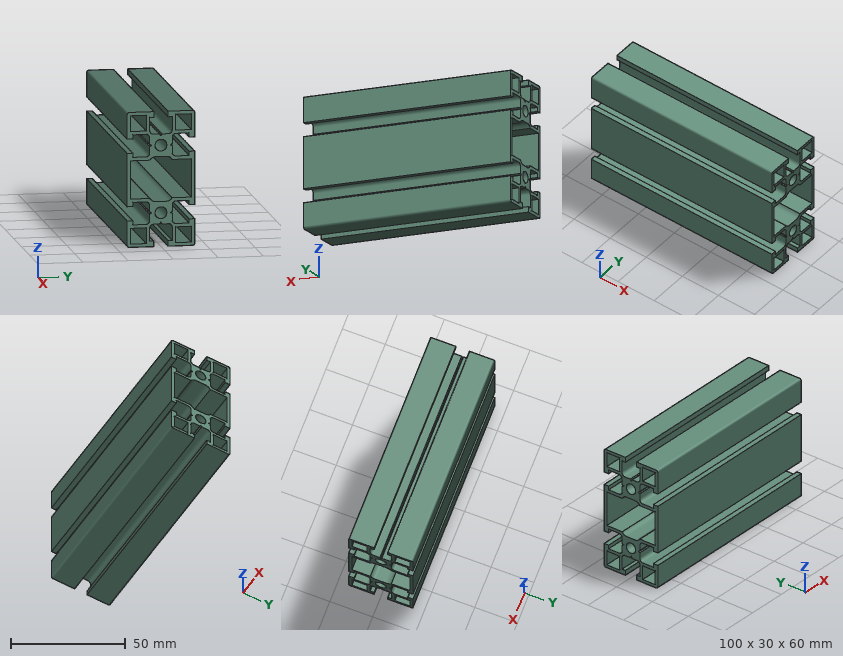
import cadquery as cq

length = 100.0
module = 30.0
height = 2 * module
corner_radius = 1.0

slot_opening = 6.3
lip_thickness = 2.5
core_width = 10.0
slot_floor_radius = 1.7
groove_width = 0.9
groove_depth = 0.8

wall = 1.5
bore_diameter = 5.2
arch_radius = 3.0
arch_width = 9.8

half_module = module / 2
half_core = core_width / 2
slot_depth = half_module - half_core
core_heights = (-half_module, half_module)
corner_hollow = slot_depth - 2 * wall
chamber_width = module - 2 * wall
chamber_half_height = slot_depth - wall


def profile():
    """Sketch plane seen along +X: local x is Y, local y is Z."""
    return cq.Workplane("YZ", origin=(-length / 2, 0, 0))


def slot_cutter():
    """T-slot opening upward from a face that lies half a module above its core."""
    cavity_height = slot_depth - lip_thickness
    cavity = (
        profile()
        .center(0, half_core + cavity_height / 2)
        .rect(core_width, cavity_height)
        .extrude(length)
        .edges("|X and <Z")
        .fillet(slot_floor_radius)
    )
    mouth = (
        profile()
        .center(0, half_core + slot_depth / 2)
        .rect(slot_opening, slot_depth)
        .extrude(length)
    )
    groove = (
        profile()
        .moveTo(-groove_width / 2, half_core)
        .lineTo(0, half_core - groove_depth)
        .lineTo(groove_width / 2, half_core)
        .close()
        .extrude(length)
    )
    return cavity.union(mouth).union(groove)


def place_slot(angle, core_z):
    """Turn a T-slot about the bar axis and move it to its core."""
    return slot_cutter().rotate((0, 0, 0), (1, 0, 0), angle).translate((0, 0, core_z))


def central_chamber():
    """Wide hollow whose floor and roof arch toward the two cores."""
    arch_half_width = arch_width / 2
    arch_run = (arch_radius**2 - (arch_radius - wall) ** 2) ** 0.5
    arch_flat = arch_half_width - arch_run
    arch_top = chamber_half_height + wall
    chamber = profile().rect(chamber_width, 2 * chamber_half_height).extrude(length)
    arch = (
        profile()
        .moveTo(-arch_half_width, -chamber_half_height)
        .lineTo(-arch_half_width, chamber_half_height)
        .radiusArc((-arch_flat, arch_top), arch_radius)
        .lineTo(arch_flat, arch_top)
        .radiusArc((arch_half_width, chamber_half_height), arch_radius)
        .lineTo(arch_half_width, -chamber_half_height)
        .radiusArc((arch_flat, -arch_top), arch_radius)
        .lineTo(-arch_flat, -arch_top)
        .radiusArc((-arch_half_width, -chamber_half_height), arch_radius)
        .close()
        .extrude(length)
    )
    return chamber.union(arch)


bar = cq.Workplane("XY").box(length, module, height)
bar = bar.edges("|X").fillet(corner_radius)

bar = bar.cut(place_slot(0, half_module))
bar = bar.cut(place_slot(180, -half_module))
for core_z in core_heights:
    for angle in (90, -90):
        bar = bar.cut(place_slot(angle, core_z))

bores = (
    profile()
    .pushPoints([(0, core_z) for core_z in core_heights])
    .circle(bore_diameter / 2)
    .extrude(length)
)
bar = bar.cut(bores)

hollow_y = half_module - wall - corner_hollow / 2
hollow_z = height / 2 - wall - corner_hollow / 2
corner_hollows = (
    profile()
    .rect(2 * hollow_y, 2 * hollow_z, forConstruction=True)
    .vertices()
    .rect(corner_hollow, corner_hollow)
    .extrude(length)
)
bar = bar.cut(corner_hollows)

result = bar.cut(central_chamber())